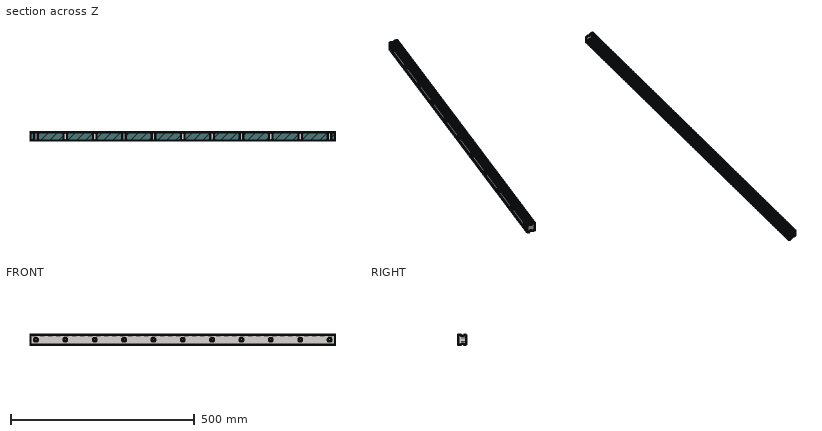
import cadquery as cq

LENGTH = 830.0
HEIGHT = 23.0
WIDTH = 28.0

HEAD_FACE_WIDTH = 23.0
BEVEL_DEPTH = 1.25
BEVEL_WIDTH = 0.5
CORNER_TRACK_DEPTH = 1.25
CORNER_TRACK_SAG = 0.8
HEAD_SIDE_DEPTH = 2.5

GROOVE_DEPTH = 3.0
GROOVE_TRACK_DEPTH = 3.75
GROOVE_TRACK_SAG = 0.5
GROOVE_FLOOR_DEPTH = 4.0
GROOVE_SLOPE_DEPTH = 3.25

FOOT_CHAMFER = 1.5

HOLE_DIAMETER = 9.0
HOLE_PITCH = 80.0
HOLE_COUNT = 11


def rail_body():
    """Solid rail centred on the origin, with its head towards +Y and mirrored about Z = 0."""
    head = HEIGHT / 2
    foot = -HEIGHT / 2
    side = WIDTH / 2
    groove_floor = side - GROOVE_DEPTH
    head_edge = HEAD_FACE_WIDTH / 2

    bevel_end = head - BEVEL_DEPTH
    corner_track_end = bevel_end - CORNER_TRACK_DEPTH
    head_end = corner_track_end - HEAD_SIDE_DEPTH
    groove_track_end = head_end - GROOVE_TRACK_DEPTH
    floor_end = groove_track_end - GROOVE_FLOOR_DEPTH
    groove_end = floor_end - GROOVE_SLOPE_DEPTH

    half_outline = (
        cq.Workplane("YZ")
        .moveTo(head, 0)
        .lineTo(head, head_edge)
        .lineTo(bevel_end, head_edge + BEVEL_WIDTH)
        .sagittaArc((corner_track_end, side), CORNER_TRACK_SAG)
        .lineTo(head_end, side)
        .sagittaArc((groove_track_end, groove_floor), GROOVE_TRACK_SAG)
        .lineTo(floor_end, groove_floor)
        .lineTo(groove_end, side)
        .lineTo(foot + FOOT_CHAMFER, side)
        .lineTo(foot, side - FOOT_CHAMFER)
        .lineTo(foot, 0)
    )
    return half_outline.mirrorX().extrude(LENGTH / 2, both=True)


def mounting_holes():
    """Row of cylinders along X, long enough to pass right through the rail along Y."""
    return (
        cq.Workplane("XZ")
        .rarray(HOLE_PITCH, 1, HOLE_COUNT, 1)
        .circle(HOLE_DIAMETER / 2)
        .extrude(HEIGHT, both=True)
    )


result = rail_body().cut(mounting_holes())